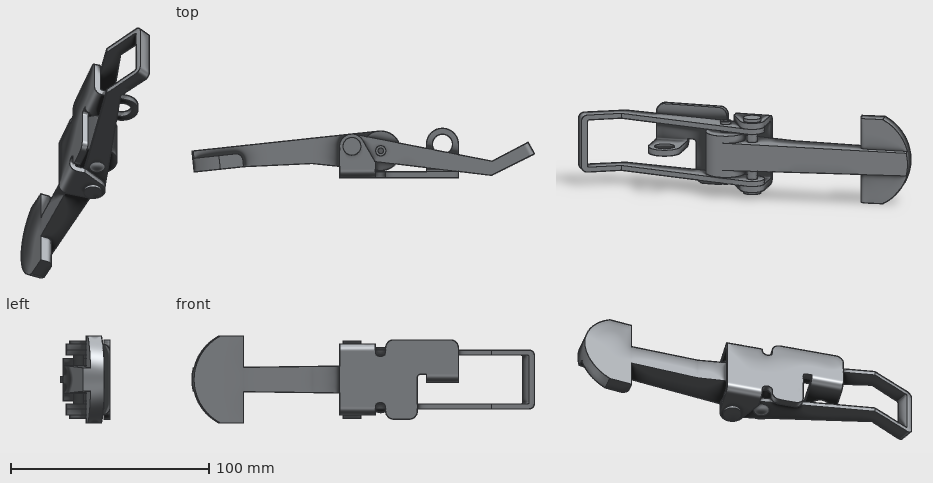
import cadquery as cq
import math


SHEET = 3.1
BEND_RADIUS = 4.2
EAR_LEFT = 74.5
EAR_RIGHT = 92.5
EAR_OUTER_Z = 18.0
EAR_RADIUS = 6.2
EAR_SLANT = 60.0
PLATE_HALF_WIDTH = 20.0
PLATE_CORNER = 4.2
PLATE_SHORT_RIGHT = 113.8
RELIEF_WIDTH = 5.2
RELIEF_BOTTOM_Z = 11.6
EYE_RADIUS = 8.1
EYE_HOLE_RADIUS = 5.0
EYE_X = 126.5
EYE_TOP_Y = 25.0
STEP_CORNER = 1.5

RIVET_X = EAR_LEFT + EAR_RADIUS
RIVET_Y = 16.0
RIVET_HEAD_RADIUS = 4.5
RIVET_HEAD_HEIGHT = 1.5
RIVET_SHANK_RADIUS = 2.6
RIVET_INNER_Z = 7.1

LEVER_THICKNESS = 2.6
LEVER_OUTER_Z = EAR_OUTER_Z - SHEET
LEVER_KNEE_TOP = (151.5, 8.5)
LEVER_KNEE_BOTTOM = (151.2, 1.2)
LEVER_TIP_TOP = (169.7, 18.0)
LEVER_TIP_BOTTOM = (173.0, 12.1)
LEVER_CORNER = 3.1
LEVER_INNER_CORNER = 0.9
CROSS_STRIP = 3.1

PIN_X = 95.3
PIN_Y = 13.7
PIN_RADIUS = 2.6
PIN_TAIL = 1.4
PIN_BORE_RADIUS = 1.4
PIN_BORE_DEPTH = 1.7
PIN_HEAD_RADIUS = 4.0
PIN_HEAD_HEIGHT = 1.9

HOOK_TILT = 6.1
HUB_RADIUS = 10.0
HUB_HALF_WIDTH = 10.7
HOOK_LENGTH = 94.8
STEM_TIP_HALF_WIDTH = 5.9
STEM_HUB_HALF_WIDTH = 7.1
STEM_KNEE = (-35.1, -2.8)
HEAD_BOTTOM = -0.7
HEAD_THICKNESS = 7.0
HEAD_LENGTH = 25.0
HEAD_ARC_LENGTH = 13.3
HEAD_HALF_WIDTH = 22.0
HEAD_ROUND = 3.3


def tangent_point(centre, radius, point, side):
    """Where the tangent from a point touches a circle; side is +1 or -1."""
    dx = point[0] - centre[0]
    dy = point[1] - centre[1]
    angle = math.atan2(dy, dx) + side * math.acos(radius / math.hypot(dx, dy))
    return (centre[0] + radius * math.cos(angle), centre[1] + radius * math.sin(angle))


def cylinder(x, y, radius, z_start, z_end):
    """A cylinder along Z."""
    return cq.Workplane("XY", origin=(x, y, z_start)).circle(radius).extrude(z_end - z_start)


def make_channel():
    """U-shaped section of the base: web, bends and two ears."""
    length = EAR_RIGHT - EAR_LEFT
    height = RIVET_Y + EAR_RADIUS
    inner_z = EAR_OUTER_Z - SHEET
    outer = (
        cq.Workplane("XY")
        .box(length, height, 2 * EAR_OUTER_Z, centered=(False, False, True))
        .edges("|X and <Y").fillet(BEND_RADIUS)
    )
    inner = (
        cq.Workplane("XY", origin=(0, SHEET, 0))
        .box(length, height, 2 * inner_z, centered=(False, False, True))
        .edges("|X and <Y").fillet(BEND_RADIUS - SHEET)
    )
    slant = math.radians(EAR_SLANT)
    flank = (RIVET_X + EAR_RADIUS * math.sin(slant), RIVET_Y + EAR_RADIUS * math.cos(slant))
    flank_foot_y = flank[1] - (EAR_RIGHT - flank[0]) * math.tan(slant)
    half_slant = math.radians(90 - EAR_SLANT / 2)
    crown = (RIVET_X - EAR_RADIUS * math.cos(half_slant), RIVET_Y + EAR_RADIUS * math.sin(half_slant))
    side_outline = (
        cq.Workplane("XY", origin=(0, 0, -EAR_OUTER_Z))
        .moveTo(EAR_LEFT, 0)
        .lineTo(EAR_LEFT, RIVET_Y)
        .threePointArc(crown, flank)
        .lineTo(EAR_RIGHT, flank_foot_y)
        .lineTo(EAR_RIGHT, 0)
        .close()
        .extrude(2 * EAR_OUTER_Z)
    )
    return outer.cut(inner).translate((EAR_LEFT, 0, 0)).intersect(side_outline)


def make_plate():
    """Flat plate to the right of the ears, with a stepped right edge and two reliefs."""
    relief_radius = RELIEF_WIDTH / 2
    relief_right = EAR_RIGHT + RELIEF_WIDTH
    eye_right = EYE_X + EYE_RADIUS
    step_z = BEND_RADIUS - SHEET / 2
    plate = (
        cq.Workplane("XZ")
        .moveTo(relief_right, -PLATE_HALF_WIDTH)
        .lineTo(PLATE_SHORT_RIGHT, -PLATE_HALF_WIDTH)
        .lineTo(PLATE_SHORT_RIGHT, step_z)
        .lineTo(eye_right, step_z)
        .lineTo(eye_right, PLATE_HALF_WIDTH)
        .lineTo(relief_right, PLATE_HALF_WIDTH)
        .close()
        .extrude(-SHEET)
    )
    plate = plate.edges("|Y").edges(">Z or <Z").fillet(PLATE_CORNER)
    step = cq.selectors.NearestToPointSelector((PLATE_SHORT_RIGHT, SHEET / 2, step_z))
    plate = plate.edges(step).fillet(STEP_CORNER)
    neck = (
        cq.Workplane("XY", origin=(EAR_RIGHT, 0, 0))
        .box(RELIEF_WIDTH, SHEET, 2 * RELIEF_BOTTOM_Z + 2 * relief_radius, centered=(False, False, True))
    )
    plate = plate.union(neck)
    for side in (1, -1):
        relief_end = (
            cq.Workplane("XZ", origin=(EAR_RIGHT + relief_radius, 0, side * (RELIEF_BOTTOM_Z + relief_radius)))
            .circle(relief_radius)
            .extrude(-SHEET)
        )
        plate = plate.cut(relief_end)
    return plate


def make_eye_tab():
    """Padlock eye bent up from the plate, centred on Z = 0."""
    inner_radius = BEND_RADIUS - SHEET
    half = SHEET / 2
    centre_y = EYE_TOP_Y - EYE_RADIUS
    bend_z = BEND_RADIUS - half
    diagonal = math.sqrt(0.5)
    tab = (
        cq.Workplane("YZ", origin=(EYE_X - EYE_RADIUS, 0, 0))
        .moveTo(0, bend_z)
        .threePointArc((BEND_RADIUS * (1 - diagonal), bend_z - BEND_RADIUS * diagonal), (BEND_RADIUS, -half))
        .lineTo(centre_y, -half)
        .lineTo(centre_y, half)
        .lineTo(BEND_RADIUS, half)
        .threePointArc((BEND_RADIUS - inner_radius * diagonal, bend_z - inner_radius * diagonal), (SHEET, bend_z))
        .close()
        .extrude(2 * EYE_RADIUS)
    )
    tab = tab.union(cylinder(EYE_X, centre_y, EYE_RADIUS, -half, half))
    return tab.cut(cylinder(EYE_X, centre_y, EYE_HOLE_RADIUS, -half, half))


def make_base():
    base = make_channel().union(make_plate()).union(make_eye_tab())
    return base.cut(cylinder(RIVET_X, RIVET_Y, RIVET_SHANK_RADIUS, -EAR_OUTER_Z, EAR_OUTER_Z))


def make_lever():
    """Two tapered, bent arms joined by a cross strip at the raised tip."""
    pivot = (RIVET_X, RIVET_Y)
    top = tangent_point(pivot, EAR_RADIUS, LEVER_KNEE_TOP, 1)
    bottom = tangent_point(pivot, EAR_RADIUS, LEVER_KNEE_BOTTOM, -1)
    block = (
        cq.Workplane("XY", origin=(0, 0, -LEVER_OUTER_Z))
        .moveTo(*bottom)
        .lineTo(*LEVER_KNEE_BOTTOM)
        .lineTo(*LEVER_TIP_BOTTOM)
        .lineTo(*LEVER_TIP_TOP)
        .lineTo(*LEVER_KNEE_TOP)
        .lineTo(*top)
        .threePointArc((RIVET_X - EAR_RADIUS, RIVET_Y), bottom)
        .close()
        .extrude(2 * LEVER_OUTER_Z)
    )
    tip_x = (LEVER_TIP_TOP[0] + LEVER_TIP_BOTTOM[0]) / 2
    tip_y = (LEVER_TIP_TOP[1] + LEVER_TIP_BOTTOM[1]) / 2
    for side in (1, -1):
        tip_corner = cq.selectors.NearestToPointSelector((tip_x, tip_y, side * LEVER_OUTER_Z))
        block = block.edges(tip_corner).fillet(LEVER_CORNER)

    inner_z = LEVER_OUTER_Z - LEVER_THICKNESS
    edge_x = LEVER_TIP_BOTTOM[0] - LEVER_TIP_TOP[0]
    edge_y = LEVER_TIP_TOP[1] - LEVER_TIP_BOTTOM[1]
    tip_angle = math.degrees(math.atan2(edge_x, edge_y))
    reach = LEVER_TIP_TOP[0]
    opening = (
        cq.Workplane("XY")
        .box(reach, reach, 2 * inner_z)
        .edges("|Y and >X").fillet(LEVER_INNER_CORNER)
        .translate((-reach / 2 - CROSS_STRIP, 0, 0))
        .rotate((0, 0, 0), (0, 0, 1), tip_angle)
        .translate((tip_x, tip_y, 0))
    )
    lever = block.cut(opening)
    lever = lever.cut(cylinder(RIVET_X, RIVET_Y, RIVET_SHANK_RADIUS, -LEVER_OUTER_Z, LEVER_OUTER_Z))
    return lever.cut(cylinder(PIN_X, PIN_Y, PIN_RADIUS, -LEVER_OUTER_Z, LEVER_OUTER_Z))


def make_rivet(side):
    """Stub rivet through one ear and one lever arm; side is +1 or -1 along Z."""
    shank = cylinder(RIVET_X, RIVET_Y, RIVET_SHANK_RADIUS, side * RIVET_INNER_Z, side * EAR_OUTER_Z)
    head_top = EAR_OUTER_Z + RIVET_HEAD_HEIGHT
    head = cylinder(RIVET_X, RIVET_Y, RIVET_HEAD_RADIUS, side * EAR_OUTER_Z, side * head_top)
    return shank.union(head)


def make_hook_pin():
    """Rivet through lever and hook, with a domed head below and a blind bore in its upper end."""
    tail_end = LEVER_OUTER_Z + PIN_TAIL
    shank = cylinder(PIN_X, PIN_Y, PIN_RADIUS, -LEVER_OUTER_Z, tail_end)
    bore = cylinder(PIN_X, PIN_Y, PIN_BORE_RADIUS, tail_end - PIN_BORE_DEPTH, tail_end)
    dome_radius = (PIN_HEAD_RADIUS ** 2 + PIN_HEAD_HEIGHT ** 2) / (2 * PIN_HEAD_HEIGHT)
    head_end = -LEVER_OUTER_Z - PIN_HEAD_HEIGHT
    dome = cq.Workplane("XY", origin=(PIN_X, PIN_Y, head_end + dome_radius)).sphere(dome_radius)
    head = cylinder(PIN_X, PIN_Y, PIN_HEAD_RADIUS, head_end, -LEVER_OUTER_Z).intersect(dome)
    return shank.union(head).cut(bore)


def make_hook():
    """T-hook: hub round the pin, tapered stem and a wide head with a curved front."""
    tip = -HOOK_LENGTH
    head_back = tip + HEAD_LENGTH
    head_shoulder = tip + HEAD_ARC_LENGTH
    underside_touch = tangent_point((0, 0), HUB_RADIUS, STEM_KNEE, 1)
    stem = (
        cq.Workplane("XY", origin=(0, 0, -HUB_HALF_WIDTH))
        .moveTo(0, HUB_RADIUS)
        .lineTo(tip, HUB_RADIUS)
        .lineTo(tip, HEAD_BOTTOM)
        .lineTo(head_back, HEAD_BOTTOM)
        .lineTo(*STEM_KNEE)
        .lineTo(*underside_touch)
        .lineTo(0, 0)
        .close()
        .extrude(2 * HUB_HALF_WIDTH)
    )
    stem_taper = (
        cq.Workplane("XZ", origin=(0, HUB_RADIUS, 0))
        .polyline([
            (tip, -STEM_TIP_HALF_WIDTH),
            (0, -STEM_HUB_HALF_WIDTH),
            (0, STEM_HUB_HALF_WIDTH),
            (tip, STEM_TIP_HALF_WIDTH),
        ])
        .close()
        .extrude(2 * HUB_RADIUS)
    )
    head = (
        cq.Workplane("XY", origin=(tip, HEAD_BOTTOM, 0))
        .box(HEAD_LENGTH, HEAD_THICKNESS, 2 * HEAD_HALF_WIDTH, centered=(False, False, True))
        .edges("|Z and >X and >Y").fillet(HEAD_ROUND)
    )
    front_limit = (
        cq.Workplane("XZ", origin=(0, HUB_RADIUS, 0))
        .moveTo(0, -HEAD_HALF_WIDTH)
        .lineTo(head_shoulder, -HEAD_HALF_WIDTH)
        .threePointArc((tip, 0), (head_shoulder, HEAD_HALF_WIDTH))
        .lineTo(0, HEAD_HALF_WIDTH)
        .close()
        .extrude(2 * HUB_RADIUS)
    )
    hook = stem.intersect(stem_taper).union(head).intersect(front_limit)
    hook = hook.union(cylinder(0, 0, HUB_RADIUS, -HUB_HALF_WIDTH, HUB_HALF_WIDTH))
    hook = hook.cut(cylinder(0, 0, PIN_RADIUS, -HUB_HALF_WIDTH, HUB_HALF_WIDTH))
    return hook.rotate((0, 0, 0), (0, 0, 1), HOOK_TILT).translate((PIN_X, PIN_Y, 0))


base = make_base()
lever = make_lever()
hook = make_hook()
hook_pin = make_hook_pin()
rivets = [make_rivet(side).val() for side in (1, -1)]

result = cq.Compound.makeCompound([base.val(), lever.val(), hook.val(), hook_pin.val(), *rivets])